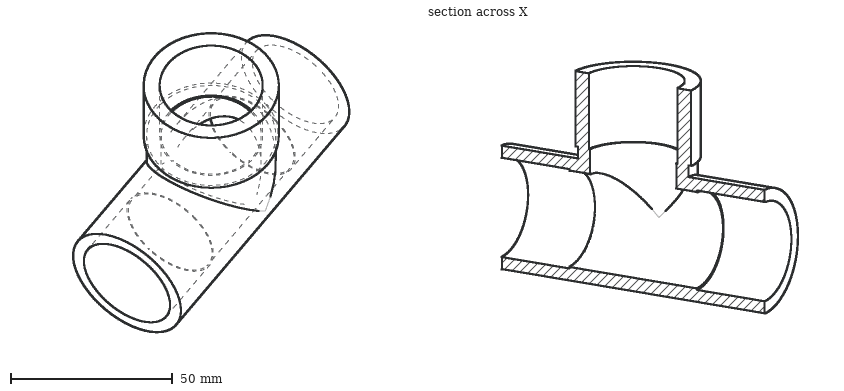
import cadquery as cq

run_length = 95.0
pipe_diameter = 40.0
collar_diameter = 41.9
collar_height = 24.4
overall_height = 68.0
bore_diameter = 31.0
socket_diameter = 31.9
socket_depth = 24.4

half_run = run_length / 2
branch_top = overall_height - pipe_diameter / 2


def run_cylinder(diameter, start, length):
    """Cylinder along the run, from y = start towards +Y."""
    plane = cq.Plane(origin=(0, start, 0), xDir=(1, 0, 0), normal=(0, 1, 0))
    return cq.Workplane(plane).circle(diameter / 2).extrude(length)


def branch_cylinder(diameter, bottom, top):
    """Cylinder along the branch, between two heights."""
    return cq.Workplane("XY").workplane(offset=bottom).circle(diameter / 2).extrude(top - bottom)


body = run_cylinder(pipe_diameter, -half_run, run_length)
body = body.union(branch_cylinder(pipe_diameter, 0, branch_top))
body = body.union(branch_cylinder(collar_diameter, branch_top - collar_height, branch_top))

body = body.cut(run_cylinder(bore_diameter, -half_run, run_length))
body = body.cut(branch_cylinder(bore_diameter, 0, branch_top))

for socket_start in (-half_run, half_run - socket_depth):
    body = body.cut(run_cylinder(socket_diameter, socket_start, socket_depth))
body = body.cut(branch_cylinder(socket_diameter, branch_top - socket_depth, branch_top))

result = body